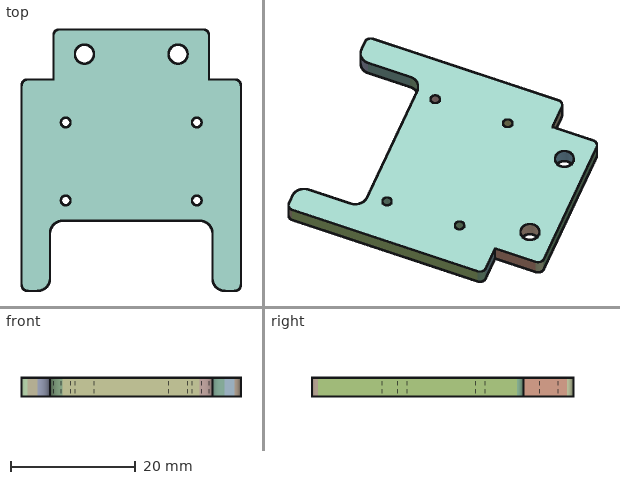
import cadquery as cq

width = 35.15
length = 41.9
thickness = 3.0
outer_radius = 1.0

tab_width = 25.0
tab_length = 8.0

slot_width = 26.0
slot_depth = 11.25
slot_radius = 2.0

tab_hole_diameter = 3.0
tab_hole_spacing = 15.0
tab_hole_inset = 4.0
small_hole_diameter = 1.5
small_hole_spacing_x = 21.0
small_hole_spacing_y = 12.5
small_hole_inset = 14.5

body_length = length - tab_length
front_y = -length / 2
back_y = length / 2
shoulder_y = back_y - tab_length
slot_end_y = front_y + slot_depth


def block(block_width, start_y, block_length):
    """Full-thickness block centred on X, starting at start_y."""
    return (
        cq.Workplane("XY")
        .center(0, start_y + block_length / 2)
        .rect(block_width, block_length)
        .extrude(thickness)
    )


def through_holes(diameter, points):
    """Cylinders that cut through the plate at the given points."""
    return cq.Workplane("XY").pushPoints(points).circle(diameter / 2).extrude(thickness)


def round_edges(solid, points, radius):
    """Round the vertical edges standing at the given points."""
    for x, y in points:
        nearest = cq.selectors.NearestToPointSelector((x, y, thickness / 2))
        solid = solid.edges("|Z").edges(nearest).fillet(radius)
    return solid


plate = block(width, front_y, body_length).union(block(tab_width, shoulder_y, tab_length))
plate = plate.cut(block(slot_width, front_y, slot_depth))

outer_corners = []
slot_corners = []
for side in (-1, 1):
    outer_corners.append((side * width / 2, front_y))
    outer_corners.append((side * width / 2, shoulder_y))
    outer_corners.append((side * tab_width / 2, back_y))
    slot_corners.append((side * slot_width / 2, front_y))
    slot_corners.append((side * slot_width / 2, slot_end_y))
plate = round_edges(plate, outer_corners, outer_radius)
plate = round_edges(plate, slot_corners, slot_radius)

tab_hole_points = []
small_hole_points = []
for side in (-1, 1):
    tab_hole_points.append((side * tab_hole_spacing / 2, back_y - tab_hole_inset))
    for row in (0, 1):
        small_hole_y = front_y + small_hole_inset + row * small_hole_spacing_y
        small_hole_points.append((side * small_hole_spacing_x / 2, small_hole_y))

result = plate.cut(through_holes(tab_hole_diameter, tab_hole_points))
result = result.cut(through_holes(small_hole_diameter, small_hole_points))